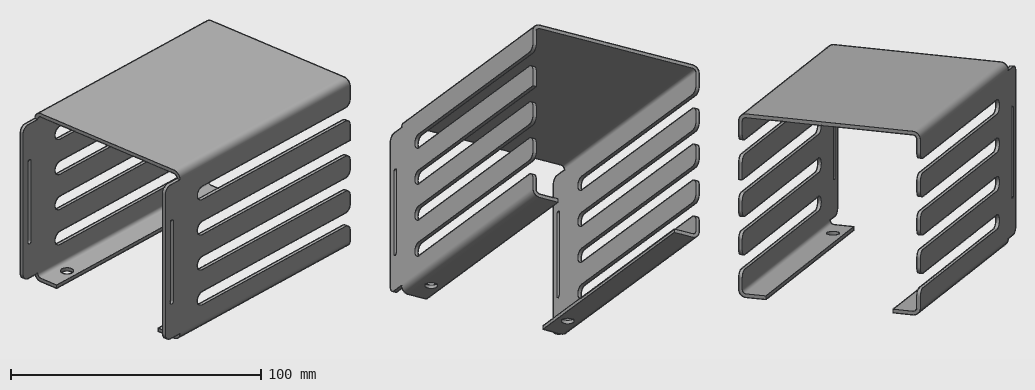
import cadquery as cq

width = 77.3
height = 76.6
length = 111.8

thickness = 1.6
bend_radius = 3.2
inner_bend_radius = bend_radius - thickness
flange_width = 11.6
tab_length = 8.8

slot_count = 4
slot_width = 6.0
slot_pitch = 16.0
slot_depth = 92.5
slot_center_drop = 0.5
corner_radius = 3.0
square_slot_index = 2
round_end_ratio = 0.499

slit_width = 1.8
slit_height = 38.3
slit_setback = 3.9

hole_diameter = 5.1
hole_inset = 6.9
hole_setback = 11.6

front_y = -length / 2
rear_y = length / 2
body_front_y = front_y + tab_length
body_length = length - tab_length
wall_height = height - 2 * bend_radius
slot_center_z = -slot_center_drop
slot_heights = [slot_center_z + (i - (slot_count - 1) / 2) * slot_pitch for i in range(slot_count)]


def rounded_tube(tube_width, tube_height, radius):
    """Solid bar along Y with rounded long edges, spanning the folded body."""
    bar = cq.Workplane("XY").box(tube_width, body_length, tube_height)
    return bar.edges("|Y").fillet(radius).translate((0, body_front_y + body_length / 2, 0))


def folded_body():
    """Closed folded section, opened at the bottom between the two flanges."""
    outer = rounded_tube(width, height, bend_radius)
    inner = rounded_tube(width - 2 * thickness, height - 2 * thickness, inner_bend_radius)
    opening = cq.Workplane("XY").box(width - 2 * flange_width, 2 * length, 2 * thickness)
    return outer.cut(inner).cut(opening.translate((0, 0, -height / 2)))


def wall_block(side, y_start, y_end, z_center, block_height):
    """Block through one side wall; side is -1 for -X and +1 for +X."""
    block = cq.Workplane("XY").box(thickness, y_end - y_start, block_height)
    wall_x = side * (width - thickness) / 2
    return block.translate((wall_x, (y_start + y_end) / 2, z_center))


def front_tab(side):
    """Flat extension of the side wall with rounded front corners."""
    tab = wall_block(side, front_y, body_front_y + corner_radius, 0, wall_height)
    return tab.edges("|X and <Y").fillet(corner_radius)


def vent_slot(side, z_center):
    """Open-ended slot with a round closed end."""
    slot = wall_block(side, rear_y - slot_depth, rear_y, z_center, slot_width)
    return slot.edges("|X and <Y").fillet(round_end_ratio * slot_width)


def finger_corner(side, z_edge, direction):
    """Waste outside the rounded rear corner of a finger lying above (+1) or below (-1) z_edge."""
    z_center = z_edge + direction * corner_radius / 2
    block = wall_block(side, rear_y - corner_radius, rear_y, z_center, corner_radius)
    round_bar = (
        cq.Workplane("YZ")
        .center(rear_y - corner_radius, z_edge + direction * corner_radius)
        .circle(corner_radius)
        .extrude(width, both=True)
    )
    return block.cut(round_bar)


def slit(side):
    """Narrow round-ended vertical slit near the front edge of the wall."""
    slit_y = front_y + slit_setback
    block = wall_block(side, slit_y - slit_width / 2, slit_y + slit_width / 2, slot_center_z, slit_height)
    return block.edges("|X").fillet(round_end_ratio * slit_width)


def flange_holes():
    """One mounting hole near the front of each bottom flange."""
    hole_x = width / 2 - hole_inset
    hole_y = body_front_y + hole_setback
    return (
        cq.Workplane("XY", origin=(0, 0, -height / 2))
        .pushPoints([(-hole_x, hole_y), (hole_x, hole_y)])
        .circle(hole_diameter / 2)
        .extrude(thickness)
    )


result = folded_body().cut(flange_holes())
for side in (-1, 1):
    result = result.union(front_tab(side)).cut(slit(side))
    for index, z_center in enumerate(slot_heights):
        result = result.cut(vent_slot(side, z_center))
        for direction in (-1, 1):
            stays_square = side == 1 and index == square_slot_index and direction == 1
            if not stays_square:
                slot_edge_z = z_center + direction * slot_width / 2
                result = result.cut(finger_corner(side, slot_edge_z, direction))